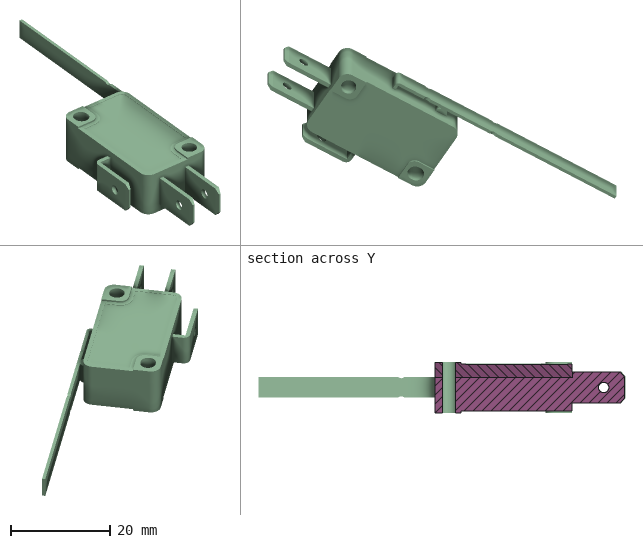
import cadquery as cq
import math


case_length = 27.65
case_width = 15.8
case_height = 10.3
case_corner_radius = 2.0
case_right = case_length / 2
case_left = -case_right
case_back = case_width / 2
case_front = -case_back
case_top = case_height / 2

pad_size = 5.3
pad_corner_radius = 1.7
pad_height = 0.4
deck_top = case_top - pad_height

panel_border = 0.9
panel_depth = 0.1

mount_hole_diameter = 3.1
mount_slot_length = 3.4
mount_hole_inset = 2.7
mount_slot_inset = 2.8

lever_width = 4.2
lever_thickness = 0.7
lever_gap = 1.1
lever_overhang = 35.5
lever_heel_x = case_left + 16.2
lever_bend_radius = 0.8
notch_radius = 0.8
notch_depth = 0.3
notch_positions = [case_left - 6.7, case_left + 8.9]
parting_z = lever_width / 2

plunger_x = case_left + 4.8
plunger_radius = 1.25

blade_width = 6.4
blade_thickness = 0.9
blade_hole_diameter = 2.0
tip_length = 0.9
tip_corner_cut = 1.0
tip_thickness = 0.45
side_hole_reach = 6.35
closed_terminal_y = case_back - 5.55
closed_terminal_reach = 10.8
open_terminal_y = case_back - 12.05
open_terminal_reach = 10.6
common_leg_x = case_left + 14.9
common_drop = 3.5
common_tip_x = case_left + 26.0
common_hole_x = case_left + 21.7
common_bend_radius = 1.3


def rounded_block(length, width, corner_radius, bottom, top):
    """Block centred on the Z axis with rounded vertical edges."""
    block = cq.Workplane("XY").workplane(offset=bottom).rect(length, width).extrude(top - bottom)
    return block.edges("|Z").fillet(corner_radius)


def corner_pads(border, bottom, top):
    """The two pads, grown by a border, with only their inner corner rounded."""
    size = pad_size + border
    radius = pad_corner_radius + border
    back_pad = (
        cq.Workplane("XY")
        .workplane(offset=bottom)
        .center(case_right - size / 2, case_back - size / 2)
        .rect(size, size)
        .extrude(top - bottom)
        .edges("|Z and <X and <Y")
        .fillet(radius)
    )
    front_pad = back_pad.rotate((0, 0, 0), (0, 0, 1), 180)
    return back_pad.union(front_pad)


def mounting_holes():
    """Cutters for the round and the slotted mounting hole."""
    start = cq.Workplane("XY").workplane(offset=-case_top)
    round_hole = (
        start.center(case_right - mount_hole_inset, case_back - mount_hole_inset)
        .circle(mount_hole_diameter / 2)
        .extrude(case_height)
    )
    slotted_hole = (
        start.center(case_left + mount_slot_inset, case_front + mount_hole_inset)
        .slot2D(mount_slot_length, mount_hole_diameter)
        .extrude(case_height)
    )
    return round_hole.union(slotted_hole)


def case_slice(bottom, top):
    """Part of the case between two heights, with its pads and mounting holes."""
    low_deck = max(bottom, -deck_top)
    high_deck = min(top, deck_top)
    deck = rounded_block(case_length, case_width, case_corner_radius, low_deck, high_deck)
    outline = rounded_block(case_length, case_width, case_corner_radius, bottom, top)
    pads = outline.intersect(corner_pads(0, bottom, top))
    return deck.union(pads).cut(mounting_holes())


def label_recess():
    """Cutter for the panel that keeps an even border to the case edge and the pads."""
    floor = deck_top - panel_depth
    panel = rounded_block(
        case_length - 2 * panel_border,
        case_width - 2 * panel_border,
        case_corner_radius - panel_border,
        floor,
        deck_top,
    )
    return panel.cut(corner_pads(panel_border, floor, deck_top))


def blade(root_x, tip_x, hole_x, center_y):
    """Straight blade along +X with a hole and a tip tapered in width and thickness."""
    shoulder_x = tip_x - tip_length
    half_width = blade_width / 2
    half_tip_width = half_width - tip_corner_cut
    half_thickness = blade_thickness / 2
    half_tip_thickness = tip_thickness / 2
    face = (
        cq.Workplane("XZ", origin=(0, center_y, 0))
        .moveTo(root_x, -half_width)
        .lineTo(shoulder_x, -half_width)
        .lineTo(tip_x, -half_tip_width)
        .lineTo(tip_x, half_tip_width)
        .lineTo(shoulder_x, half_width)
        .lineTo(root_x, half_width)
        .close()
        .extrude(half_thickness, both=True)
    )
    profile = (
        cq.Workplane("XY", origin=(0, center_y, 0))
        .moveTo(root_x, -half_thickness)
        .lineTo(shoulder_x, -half_thickness)
        .lineTo(tip_x, -half_tip_thickness)
        .lineTo(tip_x, half_tip_thickness)
        .lineTo(shoulder_x, half_thickness)
        .lineTo(root_x, half_thickness)
        .close()
        .extrude(half_width, both=True)
    )
    hole = (
        cq.Workplane("XZ", origin=(hole_x, center_y, 0))
        .circle(blade_hole_diameter / 2)
        .extrude(half_thickness, both=True)
    )
    return face.intersect(profile).cut(hole)


def side_terminal(center_y, reach):
    """Blade standing straight out of the right side of the case."""
    return blade(case_right, case_right + reach, case_right + side_hole_reach, center_y)


def common_terminal():
    """Blade on a leg that drops from the front of the case and turns to +X."""
    bottom_y = case_front - common_drop
    bend_inset = common_bend_radius * (1 - math.sqrt(0.5))
    leg = (
        cq.Workplane("XY")
        .workplane(offset=-blade_width / 2)
        .moveTo(common_leg_x, bottom_y + common_bend_radius)
        .threePointArc(
            (common_leg_x + bend_inset, bottom_y + bend_inset),
            (common_leg_x + common_bend_radius, bottom_y),
        )
        .lineTo(common_leg_x + common_bend_radius, bottom_y + blade_thickness)
        .lineTo(common_leg_x + blade_thickness, bottom_y + blade_thickness)
        .lineTo(common_leg_x + blade_thickness, case_front)
        .lineTo(common_leg_x, case_front)
        .close()
        .extrude(blade_width)
    )
    arm = blade(
        common_leg_x + common_bend_radius,
        common_tip_x,
        common_hole_x,
        bottom_y + blade_thickness / 2,
    )
    return leg.union(arm)


def lever():
    """Long flat lever, bent down to the case at its heel, with edge notches."""
    lever_bottom = case_back + lever_gap
    lever_top = lever_bottom + lever_thickness
    lever_tip_x = case_left - lever_overhang
    strip = (
        cq.Workplane("XY")
        .workplane(offset=-lever_width / 2)
        .moveTo(lever_tip_x, lever_bottom)
        .lineTo(lever_heel_x - lever_thickness, lever_bottom)
        .lineTo(lever_heel_x - lever_thickness, case_back)
        .lineTo(lever_heel_x, case_back)
        .lineTo(lever_heel_x, lever_top)
        .lineTo(lever_tip_x, lever_top)
        .close()
        .extrude(lever_width)
        .edges("|Z and >X and >Y")
        .fillet(lever_bend_radius)
    )
    notch_z = lever_width / 2 + notch_radius - notch_depth
    notch_centers = [(x, side * notch_z) for x in notch_positions for side in (-1, 1)]
    notches = (
        cq.Workplane("XZ", origin=(0, lever_top, 0))
        .pushPoints(notch_centers)
        .circle(notch_radius)
        .extrude(lever_thickness)
    )
    return strip.cut(notches)


def plunger():
    """Round-topped bar on the back of the case, flattened where it carries the lever."""
    half_flat = math.sqrt(plunger_radius**2 - lever_gap**2)
    shoulder = plunger_radius * math.sqrt(0.5)
    return (
        cq.Workplane("XY", origin=(plunger_x, case_back, -lever_width / 2))
        .moveTo(-plunger_radius, 0)
        .lineTo(plunger_radius, 0)
        .threePointArc((shoulder, shoulder), (half_flat, lever_gap))
        .lineTo(-half_flat, lever_gap)
        .threePointArc((-shoulder, shoulder), (-plunger_radius, 0))
        .close()
        .extrude(lever_width)
    )


def make_base():
    """Lower part of the case, carrying the terminals, the plunger and the lever."""
    base = case_slice(-case_top, parting_z)
    base = base.union(side_terminal(closed_terminal_y, closed_terminal_reach))
    base = base.union(side_terminal(open_terminal_y, open_terminal_reach))
    base = base.union(common_terminal())
    return base.union(plunger()).union(lever())


def make_cover():
    """Upper part of the case with the sunk label panel."""
    return case_slice(parting_z, case_top).cut(label_recess())


base = make_base()
cover = make_cover()

result = cq.Compound.makeCompound([base.solids().val(), cover.solids().val()])